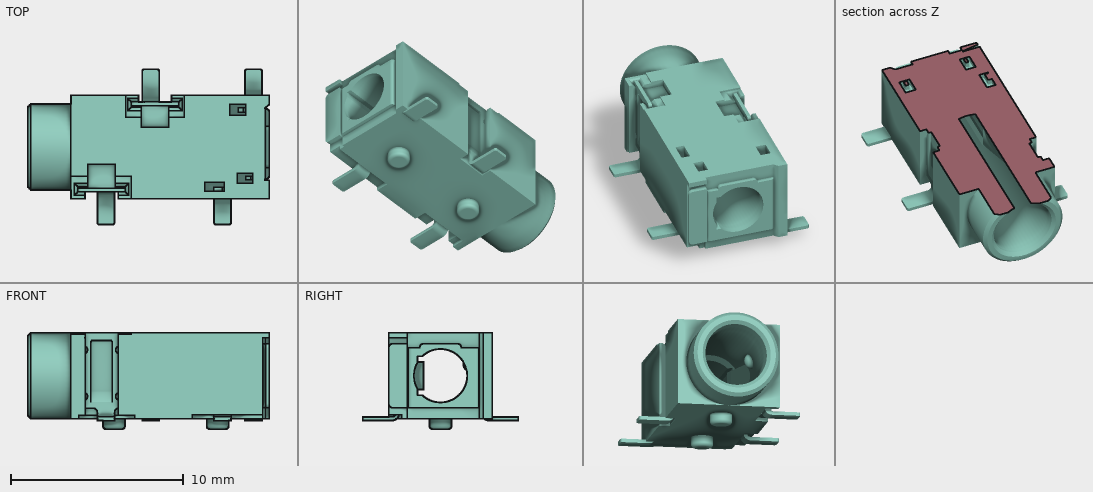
import cadquery as cq
import math


LENGTH = 14.0
BODY_FRONT = 2.5
BODY_WIDTH = 6.0
BODY_HEIGHT = 5.0
SIDE_Y = -BODY_WIDTH / 2
TOP_Z = BODY_HEIGHT / 2
BOTTOM_Z = -TOP_Z

BARREL_RADIUS = TOP_Z
BARREL_CHAMFER = 0.2
BORE_RADIUS = 1.8
MOUTH_CHAMFER = 0.2
TIP_RADIUS = 1.54
TAPER_START = 8.4
TAPER_END = TAPER_START + BORE_RADIUS - TIP_RADIUS
KEYWAY_HEIGHT = 2.24
KEYWAY_REACH = 1.33

PEG_CENTERS = (5.0, 11.0)
PEG_RADIUS = 0.65
PEG_LENGTH = 0.6
PEG_FILLET = 0.2

STRIP_THICKNESS = 0.21
STRIP_OUTER_Y = -2.6
STRIP_INNER_Y = STRIP_OUTER_Y + STRIP_THICKNESS
STRIP_LENGTH = 2.75
STRIP_CORNER = 0.2
STRIP_BOTTOM = -1.88
LEG_WIDTH = 1.0
LEG_SPAN = 9.0
LEG_TIP_Y = -LEG_SPAN / 2
LEG_BOTTOM = BOTTOM_Z - 0.1
LEG_TOP = LEG_BOTTOM + STRIP_THICKNESS
LEG_BEND = 0.21
LEG_CORNER = 0.13
LEG_FLARE = 0.25
LEG_ROOT_Z = -1.68
LEG_OFFSET = 0.25

FRONT_STATION = 4.28
REAR_STATION = 7.38
STEP_DEPTH = 0.1
STEP_INNER_Y = -1.71
FRONT_STEP_LENGTH = 2 * (FRONT_STATION - BODY_FRONT)
FRONT_STEP_SHIFT = -0.05
REAR_STEP_LENGTH = 3.37
SLOT_LENGTH = 1.9
FUNNEL_LENGTH = 3.16
FUNNEL_WIDTH = 0.71
FUNNEL_DEPTH = 0.21
FUNNEL_Y = -2.45
NOTCH_LENGTH = 1.6
FRONT_NOTCH_END = 1.0
REAR_NOTCH_END = 1.15
NOTCH_FLOOR = TOP_Z - 0.43

TONGUE_LENGTH = 1.25
TONGUE_TOP = 2.03
TONGUE_BEND = -0.92
TONGUE_BOTTOM = -1.51
TONGUE_DEPTH = 0.17
TONGUE_CORNER = 0.11

DIMPLE_BALL_RADIUS = 0.31
DIMPLE_DEPTH = 0.08
DIMPLE_OFFSET = SLOT_LENGTH / 2 + 0.07
DIMPLE_HEIGHTS = (1.5, -1.19)

RIGHT_LEG_X = 11.28
LEFT_LEG_X = 13.08

UNDERCUTS = ((2.95, 6.22, -2.3), (9.52, LENGTH, -2.25))
UNDERCUT_INNER_Y = -2.24

ROOF_UNDERSIDE = 2.2
CORNER_X = 13.61
REAR_FACE_X = 13.75
REAR_RECESS_MIN_Y = -1.92
REAR_RECESS_MAX_Y = 2.24
REAR_RECESS_FLARE = 0.22
END_PLATE_MIN_Y = -1.86
END_PLATE_MAX_Y = 2.21
END_PLATE_TOP = 1.85
END_PLATE_ROUND = 0.21
END_HUMP_WIDTH = 2.41
END_HUMP_RISE = 0.22
TAB_TIP_X = 13.79
TAB_CORNER = 0.24

WINDOWS = (
    ((11.7, 12.61), (1.85, 2.46), (12.21, 12.61), (2.02, 2.25)),
    ((12.12, 13.03), (-2.1, -1.51), (12.63, 13.03), (-1.9, -1.71)),
    ((10.26, 11.38), (-2.56, -2.05), (10.78, 11.38), (-2.56, -2.32)),
)
WINDOW_FLOOR = 1.4
LUG_TOP = 1.82
LUG_CHAMFER = 0.13

SPRING_START = 5.04
SPRING_BEND_X = 7.84
SPRING_END = 8.4
SPRING_ROOT_Y = -BORE_RADIUS - 0.14
SPRING_BEND_Y = -1.12
SPRING_TIP_Y = -0.98
SPRING_HEIGHT = 1.6
BUMP_RADIUS = 0.45
BUMP_X = 4.62
BUMP_Y = 1.75
BUMP_Z = 0.7


def block(x_range, y_range, z_range):
    """Box spanning the given ranges."""
    low = [min(r) for r in (x_range, y_range, z_range)]
    size = [max(r) - min(r) for r in (x_range, y_range, z_range)]
    return cq.Workplane("XY").box(*size, centered=False).translate(tuple(low))


def about(center, length):
    """Range of the given length around a middle value."""
    return (center - length / 2, center + length / 2)


def half_turn(shape):
    """The same shape on the +Y side, turned around the vertical axis."""
    return shape.rotate((0, 0, 0), (0, 0, 1), 180)


def housing():
    """Body block with the round barrel on its front face."""
    body = block((BODY_FRONT, LENGTH), (SIDE_Y, -SIDE_Y), (BOTTOM_Z, TOP_Z))
    barrel = (
        cq.Workplane("YZ")
        .circle(BARREL_RADIUS)
        .extrude(BODY_FRONT)
        .faces("<X")
        .chamfer(BARREL_CHAMFER)
    )
    return body.union(barrel)


def bore():
    """Stepped plug bore through the whole part, with a keyway at its narrow end."""
    profile = (
        cq.Workplane("XY")
        .moveTo(0, 0)
        .lineTo(0, BORE_RADIUS + MOUTH_CHAMFER)
        .lineTo(MOUTH_CHAMFER, BORE_RADIUS)
        .lineTo(TAPER_START, BORE_RADIUS)
        .lineTo(TAPER_END, TIP_RADIUS)
        .lineTo(LENGTH, TIP_RADIUS)
        .lineTo(LENGTH, 0)
        .close()
    )
    keyway = block((TAPER_START, LENGTH), (-KEYWAY_REACH, 0), about(0, KEYWAY_HEIGHT))
    return profile.revolve(360, (0, 0, 0), (1, 0, 0)).union(keyway)


def peg(x):
    return (
        cq.Workplane("XY", origin=(x, 0, BOTTOM_Z))
        .circle(PEG_RADIUS)
        .extrude(-PEG_LENGTH)
        .faces("<Z")
        .edges()
        .fillet(PEG_FILLET)
    )


def solder_leg(x):
    """Leg on the -Y side that drops along the strip and bends outward to lie flat."""
    outer_bend = LEG_BEND + STRIP_THICKNESS
    inner_arc = LEG_BEND * (1 - math.sqrt(0.5))
    outer_arc = outer_bend * (1 - math.sqrt(0.5))
    leg = (
        cq.Workplane("YZ", origin=(x - LEG_WIDTH / 2, 0, 0))
        .moveTo(STRIP_INNER_Y, LEG_ROOT_Z)
        .lineTo(STRIP_INNER_Y, LEG_BOTTOM + outer_bend)
        .threePointArc(
            (STRIP_INNER_Y - outer_arc, LEG_BOTTOM + outer_arc),
            (STRIP_INNER_Y - outer_bend, LEG_BOTTOM),
        )
        .lineTo(LEG_TIP_Y, LEG_BOTTOM)
        .lineTo(LEG_TIP_Y, LEG_TOP)
        .lineTo(STRIP_OUTER_Y - LEG_BEND, LEG_TOP)
        .threePointArc(
            (STRIP_OUTER_Y - inner_arc, LEG_TOP + inner_arc),
            (STRIP_OUTER_Y, LEG_TOP + LEG_BEND),
        )
        .lineTo(STRIP_OUTER_Y, LEG_ROOT_Z)
        .close()
        .extrude(LEG_WIDTH)
    )
    return leg.faces("<Y").edges("|Z").fillet(LEG_CORNER)


def station_cut(x, step_length, step_x, notch_end):
    """Openings around a contact strip on the -Y side."""
    step_z = TOP_Z - STEP_DEPTH
    step = block(about(step_x, step_length), (SIDE_Y, STEP_INNER_Y), (step_z, TOP_Z))
    slot = block(about(x, SLOT_LENGTH), (SIDE_Y, STRIP_OUTER_Y), (BOTTOM_Z, TOP_Z))
    foot = block(about(x, SLOT_LENGTH), (SIDE_Y, STRIP_INNER_Y), (BOTTOM_Z, STRIP_BOTTOM))
    funnel = (
        cq.Workplane("XY", origin=(x, FUNNEL_Y, step_z))
        .rect(FUNNEL_LENGTH, FUNNEL_WIDTH)
        .extrude(-FUNNEL_DEPTH, taper=45)
    )
    notch = block(about(x, NOTCH_LENGTH), (STRIP_INNER_Y, -notch_end), (NOTCH_FLOOR, TOP_Z))
    return step.union(slot).union(foot).union(funnel).union(notch)


def tongue_recess(x):
    """Shallow window in the strip face whose lower end slopes back out."""
    floor_y = STRIP_OUTER_Y + TONGUE_DEPTH
    recess = (
        cq.Workplane("YZ", origin=(x - TONGUE_LENGTH / 2, 0, 0))
        .moveTo(STRIP_OUTER_Y, TONGUE_TOP)
        .lineTo(floor_y, TONGUE_TOP)
        .lineTo(floor_y, TONGUE_BEND)
        .lineTo(STRIP_OUTER_Y, TONGUE_BOTTOM)
        .close()
        .extrude(TONGUE_LENGTH)
    )
    return recess.faces(">Z").edges("|Y").fillet(TONGUE_CORNER)


def dimples(x):
    """Dimples in the strip face, limited to the width of the slot."""
    ball_y = STRIP_OUTER_Y + DIMPLE_DEPTH - DIMPLE_BALL_RADIUS
    slot = block(about(x, SLOT_LENGTH), (SIDE_Y, STRIP_INNER_Y), (BOTTOM_Z, TOP_Z))
    cuts = cq.Workplane("XY")
    for side in (-1, 1):
        for z in DIMPLE_HEIGHTS:
            ball = cq.Workplane("XY").sphere(DIMPLE_BALL_RADIUS)
            cuts = cuts.add(ball.translate((x + side * DIMPLE_OFFSET, ball_y, z)))
    return cuts.combine().intersect(slot)


def leg_flare(x):
    """Web at the foot of the strip that narrows to the leg through concave rounds."""
    web_length = LEG_WIDTH + 2 * LEG_FLARE
    web = block(
        about(x, web_length),
        (STRIP_OUTER_Y, STRIP_INNER_Y),
        (STRIP_BOTTOM - LEG_FLARE, STRIP_BOTTOM),
    )
    for side in (-1, 1):
        corner = (x + side * web_length / 2, STRIP_INNER_Y, STRIP_BOTTOM - LEG_FLARE)
        round_cut = cq.Workplane("XZ", origin=corner).circle(LEG_FLARE).extrude(STRIP_THICKNESS)
        web = web.cut(round_cut)
    return web


def contact_strip(x, leg_x):
    """Upright strip on the -Y side with its solder leg."""
    strip = block(
        about(x, STRIP_LENGTH),
        (STRIP_OUTER_Y, STRIP_INNER_Y),
        (STRIP_BOTTOM, TOP_Z),
    )
    strip = strip.faces(">Z").edges("|Y").fillet(STRIP_CORNER)
    strip = strip.union(leg_flare(leg_x))
    return strip.union(solder_leg(leg_x))


def rear_cut():
    """Shallow rear recess and the step under the roof at the -Y rear corner."""
    recess = (
        cq.Workplane("XY", origin=(0, 0, BOTTOM_Z))
        .moveTo(REAR_FACE_X, REAR_RECESS_MIN_Y)
        .lineTo(LENGTH, REAR_RECESS_MIN_Y)
        .lineTo(LENGTH, REAR_RECESS_MAX_Y + REAR_RECESS_FLARE)
        .lineTo(REAR_FACE_X, REAR_RECESS_MAX_Y)
        .close()
        .extrude(BODY_HEIGHT)
    )
    corner = block((CORNER_X, LENGTH), (SIDE_Y, REAR_RECESS_MIN_Y), (BOTTOM_Z, ROOF_UNDERSIDE))
    return recess.union(corner)


def end_plate():
    """Contact plate at the rear face with a raised hump along its top edge."""
    plate = block(
        (REAR_FACE_X, LENGTH),
        (END_PLATE_MIN_Y, END_PLATE_MAX_Y),
        (-END_PLATE_TOP, END_PLATE_TOP - END_HUMP_RISE),
    )
    plate = plate.faces(">X").edges("|Z").fillet(END_PLATE_ROUND)
    hump = block(
        (REAR_FACE_X, LENGTH),
        about(0, END_HUMP_WIDTH),
        (0, END_PLATE_TOP),
    )
    hump = hump.faces(">Z").edges("|X").fillet(END_HUMP_RISE)
    tab = (
        cq.Workplane("XY", origin=(0, 0, -END_PLATE_TOP))
        .moveTo(CORNER_X, REAR_RECESS_MIN_Y)
        .lineTo(TAB_TIP_X, SIDE_Y)
        .lineTo(LENGTH, SIDE_Y)
        .lineTo(LENGTH, REAR_RECESS_MIN_Y)
        .close()
        .extrude(2 * END_PLATE_TOP)
    )
    tab = tab.faces("<Y").edges("|X").fillet(TAB_CORNER)
    return plate.union(hump).union(tab)


def spring_contact():
    """Leaf that slopes from the -Y bore wall toward the plug axis."""
    return (
        cq.Workplane("XY", origin=(0, 0, -SPRING_HEIGHT / 2))
        .moveTo(SPRING_START, SPRING_ROOT_Y)
        .lineTo(SPRING_BEND_X, SPRING_BEND_Y)
        .lineTo(SPRING_END, SPRING_TIP_Y)
        .lineTo(SPRING_END, SPRING_ROOT_Y)
        .close()
        .extrude(SPRING_HEIGHT)
    )


def detent_bump(y):
    return cq.Workplane("XY").sphere(BUMP_RADIUS).translate((BUMP_X, y, BUMP_Z))


result = housing()
result = result.cut(rear_cut())
result = result.union(end_plate())
result = result.cut(bore())
for start, end, roof in UNDERCUTS:
    result = result.cut(block((start, end), (SIDE_Y, UNDERCUT_INNER_Y), (BOTTOM_Z, roof)))
for window_x, window_y, lug_x, lug_y in WINDOWS:
    result = result.cut(block(window_x, window_y, (WINDOW_FLOOR, TOP_Z)))
    lug = block(lug_x, lug_y, (WINDOW_FLOOR, LUG_TOP))
    result = result.union(lug.faces(">X").edges(">Z").chamfer(LUG_CHAMFER))

front_step_x = FRONT_STATION + FRONT_STEP_SHIFT
result = result.cut(station_cut(FRONT_STATION, FRONT_STEP_LENGTH, front_step_x, FRONT_NOTCH_END))
rear_openings = station_cut(-REAR_STATION, REAR_STEP_LENGTH, -REAR_STATION, REAR_NOTCH_END)
result = result.cut(half_turn(rear_openings))
result = result.union(contact_strip(FRONT_STATION, FRONT_STATION + LEG_OFFSET))
result = result.union(half_turn(contact_strip(-REAR_STATION, LEG_OFFSET - REAR_STATION)))
for face_cut in (tongue_recess, dimples):
    result = result.cut(face_cut(FRONT_STATION))
    result = result.cut(half_turn(face_cut(-REAR_STATION)))

result = result.union(solder_leg(RIGHT_LEG_X))
result = result.union(half_turn(solder_leg(-LEFT_LEG_X)))
result = result.union(spring_contact())
for bump_y in (-BUMP_Y, BUMP_Y):
    result = result.union(detent_bump(bump_y))
for peg_x in PEG_CENTERS:
    result = result.union(peg(peg_x))